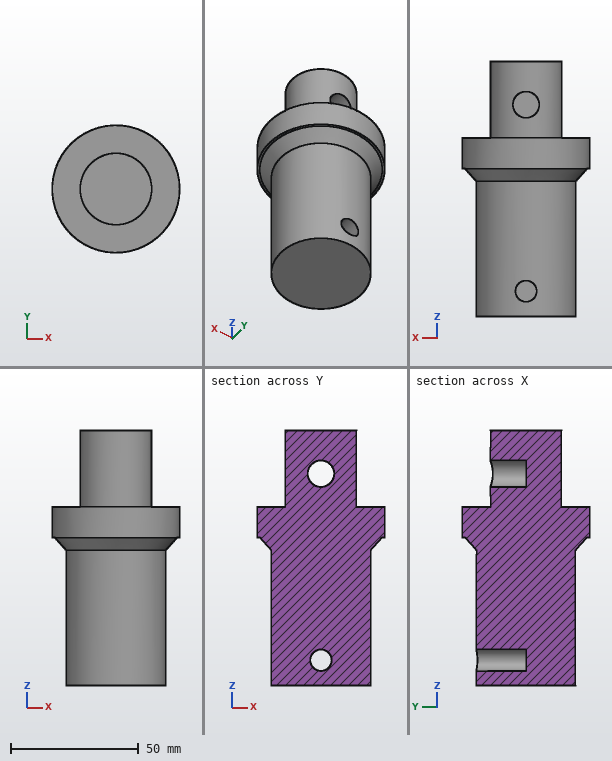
import cadquery as cq

body_diameter = 39.0
body_length = 53.0
taper_top_diameter = 48.0
taper_length = 5.0
flange_diameter = 50.0
flange_thickness = 12.0
pin_diameter = 28.0
pin_length = 30.0

body_hole_diameter = 8.3
body_hole_height = 10.0
pin_hole_diameter = 10.3
pin_hole_drop = 17.0

flange_bottom = body_length + taper_length
flange_top = flange_bottom + flange_thickness
total_length = flange_top + pin_length
pin_hole_height = total_length - pin_hole_drop


def make_shaft():
    """Revolve the half outline of the body, taper, flange and pin about Z."""
    outline = [
        (0, 0),
        (body_diameter / 2, 0),
        (body_diameter / 2, body_length),
        (taper_top_diameter / 2, flange_bottom),
        (flange_diameter / 2, flange_bottom),
        (flange_diameter / 2, flange_top),
        (pin_diameter / 2, flange_top),
        (pin_diameter / 2, total_length),
        (0, total_length),
    ]
    profile = cq.Workplane("XZ").polyline(outline).close()
    return profile.revolve(360, (0, 0, 0), (0, 1, 0))


def make_cross_hole(diameter, height):
    """Cutter running from the shaft axis out past the +Y side."""
    start = cq.Vector(0, 0, height)
    direction = cq.Vector(0, 1, 0)
    return cq.Solid.makeCylinder(diameter / 2, flange_diameter / 2, start, direction)


result = make_shaft()
result = result.cut(make_cross_hole(body_hole_diameter, body_hole_height))
result = result.cut(make_cross_hole(pin_hole_diameter, pin_hole_height))